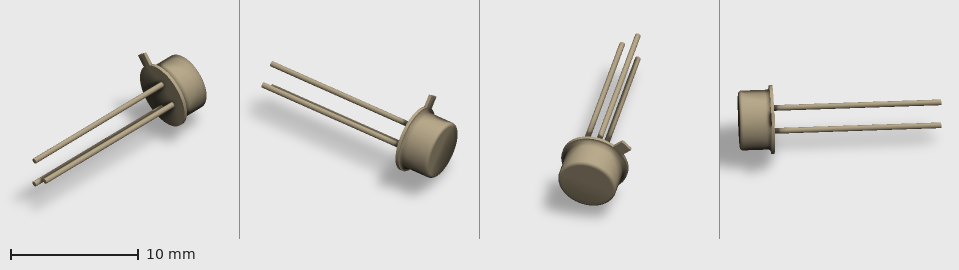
import cadquery as cq
import math

total_length = 15.88
body_length = 2.7
lead_length = total_length - body_length

flange_radius = 2.7
flange_thickness = 0.25
can_radius = 2.35
edge_radius = 0.25

tab_width = 1.02
tab_corner_reach = 2.95
tab_reach = tab_corner_reach * math.sqrt(2) - tab_width / 2
tab_angle = 135

lead_diameter = 0.45
lead_circle_radius = 1.27
lead_angles = (-90, 0, 90)


def disc(radius, length):
    """Cylinder from the flange underside (Y = 0) toward +Y."""
    return cq.Workplane("XZ").circle(radius).extrude(-length)


def make_tab():
    """Index tab reaching from the package axis out past the flange rim."""
    return (
        cq.Workplane("XZ")
        .transformed(rotate=(0, 0, tab_angle))
        .center(tab_reach / 2, 0)
        .rect(tab_reach, tab_width)
        .extrude(-flange_thickness)
    )


def make_body():
    """Can with a rounded top and a concave fillet where it meets the flange."""
    can_height = body_length - flange_thickness
    flange = disc(flange_radius, flange_thickness)
    body = (
        flange.faces(">Y")
        .workplane()
        .circle(can_radius)
        .extrude(can_height)
    )
    body = body.faces(">Y").edges().fillet(edge_radius)
    foot_edge = cq.selectors.RadiusNthSelector(0)
    return body.faces("+Y").faces("<Y").edges(foot_edge).fillet(edge_radius)


def make_leads():
    """Straight round leads spaced around the lead circle."""
    lead_centers = [
        (
            lead_circle_radius * math.cos(math.radians(angle)),
            lead_circle_radius * math.sin(math.radians(angle)),
        )
        for angle in lead_angles
    ]
    return (
        cq.Workplane("XZ")
        .pushPoints(lead_centers)
        .circle(lead_diameter / 2)
        .extrude(lead_length)
    )


result = make_body().union(make_tab()).union(make_leads())